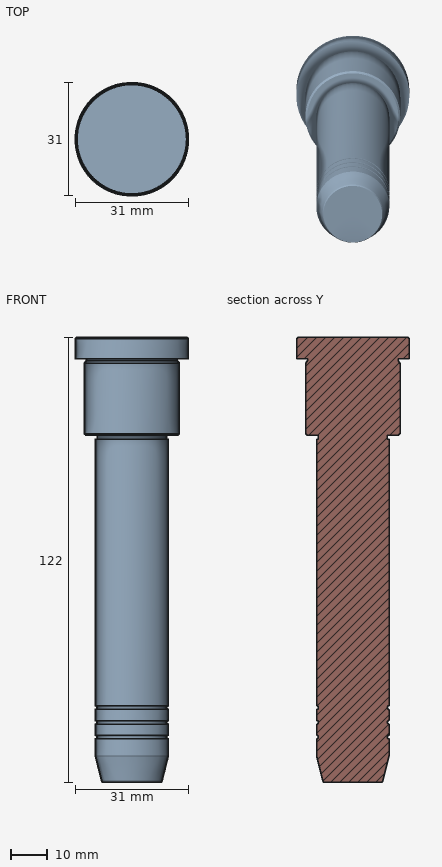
import cadquery as cq

total_length = 122.0

head_diameter = 31.0
head_height = 6.0
head_chamfer = 0.5

collar_diameter = 26.0
collar_bottom_z = 95.0
collar_chamfer = 0.5
neck_height = 0.5
neck_chamfer_height = 0.7

shaft_diameter = 20.0
taper_height = 7.3
tip_diameter = 16.6
tip_edge_height = 0.5
tip_edge_inset = 0.2

groove_width = 1.0
groove_depth = 0.5
shaft_groove_count = 3
lowest_groove_z = 12.0
groove_pitch = 4.0

head_radius = head_diameter / 2
collar_radius = collar_diameter / 2
shaft_radius = shaft_diameter / 2
tip_radius = tip_diameter / 2
head_bottom_z = total_length - head_height
neck_bottom_z = head_bottom_z - neck_height
relief_bottom_z = collar_bottom_z - groove_width
neck_radius = collar_radius - collar_chamfer
relief_radius = shaft_radius - groove_depth

outline = [
    (0, 0),
    (tip_radius - tip_edge_inset, 0),
    (tip_radius, tip_edge_height),
    (shaft_radius, taper_height),
    (shaft_radius, relief_bottom_z),
    (relief_radius, relief_bottom_z),
    (relief_radius, collar_bottom_z),
    (neck_radius, collar_bottom_z),
    (collar_radius, collar_bottom_z + collar_chamfer),
    (collar_radius, neck_bottom_z - neck_chamfer_height),
    (neck_radius, neck_bottom_z),
    (neck_radius, head_bottom_z),
    (head_radius, head_bottom_z),
    (head_radius, total_length - head_chamfer),
    (head_radius - head_chamfer, total_length),
    (0, total_length),
]
pin = cq.Workplane("XZ").polyline(outline).close().revolve(360, (0, 0), (0, 1))


def shaft_groove(bottom_z):
    """Ring that cuts a round-bottomed groove, made of two quarter arcs, into the shaft."""
    middle_z = bottom_z + groove_width / 2
    return (
        cq.Workplane("XZ")
        .moveTo(shaft_radius, bottom_z)
        .radiusArc((relief_radius, middle_z), groove_depth)
        .radiusArc((shaft_radius, bottom_z + groove_width), groove_depth)
        .close()
        .revolve(360, (0, 0), (0, 1))
    )


for index in range(shaft_groove_count):
    pin = pin.cut(shaft_groove(lowest_groove_z + index * groove_pitch))

result = pin